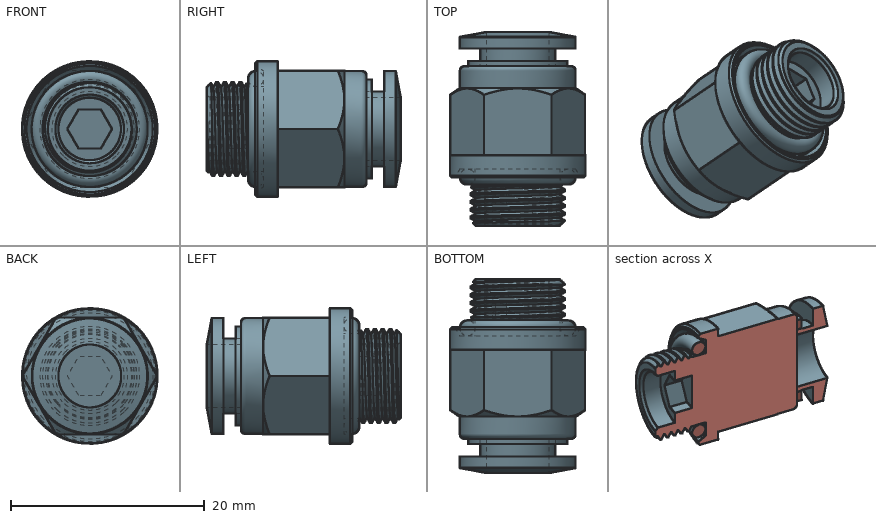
import cadquery as cq
import math


body_radius = 6.0
hex_across_flats = 12.06
hex_circumradius = hex_across_flats / 2 / math.cos(math.radians(30))
flange_radius = 14.0 / 2
flange_chamfer = 0.25
flange_start = 4.99
flange_end = 7.35
flange_back_chamfer = 0.06
hex_crown_start = 13.55
hex_end = 14.23
housing_end = 16.51
housing_fillet = 0.5

thread_radius = 4.87
thread_root_radius = 4.3
thread_pitch = 0.8
thread_tip_chamfer = 0.56
thread_end = 4.25
thread_end_chamfer = 0.3
thread_phase = 0.88
groove_half_angle = 30.0
groove_turns = 6.5
groove_lead_turns = 2
groove_overshoot = 0.1

bore_radius = 3.23
bore_depth = 2.28
bore_chamfer = 0.32
socket_across_flats = 4.0
socket_depth = 2.0

ring_section_radius = 0.8
ring_outer_radius = 6.0
ring_centre_radius = ring_outer_radius - ring_section_radius
ring_crown = 4.27
ring_centre_y = ring_crown + ring_section_radius
gland_inner_radius = ring_centre_radius - ring_section_radius
gland_floor = ring_centre_y + ring_section_radius
gland_mouth_radius = 6.51

collar_radius = 5.13
collar_end = 17.05

sleeve_radius = 3.89
button_radius = 6.0
button_start = 18.32
button_rim_end = 19.48
button_rim_chamfer = 0.06
tube_hole_radius = 3.25
button_end = 20.05


def turned(profile):
    """Revolve an outline of (radius, Y) points about the Y axis."""
    return cq.Workplane("XY").polyline(profile).close().revolve(360, (0, 0, 0), (0, 1, 0))


def cylinder(radius, start, end):
    """A solid cylinder on the Y axis."""
    return turned([(0, start), (radius, start), (radius, end), (0, end)])


def hex_prism(across_flats, start, end):
    """A hexagonal prism on the Y axis with flats facing +Z and -Z."""
    across_corners = across_flats / math.cos(math.radians(30))
    prism = cq.Workplane("XY").polygon(6, across_corners).extrude(end - start)
    return prism.rotate((0, 0, 0), (1, 0, 0), -90).translate((0, start, 0))


def thread_groove():
    """The helical V-groove cut into the threaded spigot, bounded by ruled faces between three helices."""
    outer_radius = thread_radius + groove_overshoot
    half_width = (outer_radius - thread_root_radius) * math.tan(math.radians(groove_half_angle))
    length = groove_turns * thread_pitch

    def helix(radius, axial_shift):
        return cq.Wire.makeHelix(thread_pitch, length, radius).translate(cq.Vector(0, 0, axial_shift))

    root_and_rims = [
        helix(thread_root_radius, 0),
        helix(outer_radius, half_width),
        helix(outer_radius, -half_width),
    ]
    faces = []
    for first, second in zip(root_and_rims, root_and_rims[1:] + root_and_rims[:1]):
        faces.extend(cq.Face.makeRuledSurface(first, second).Faces())
    for end in (0, 1):
        corners = [edge.positionAt(end) for edge in root_and_rims]
        faces.append(cq.Face.makeFromWires(cq.Wire.makePolygon(corners, close=True)))
    groove = cq.Workplane(cq.Solid.makeSolid(cq.Shell.makeShell(faces)).fix())
    start = thread_phase - groove_lead_turns * thread_pitch
    return groove.rotate((0, 0, 0), (1, 0, 0), -90).translate((0, start, 0))


def threaded_spigot():
    """The threaded end, chamfered at the tip and where the thread runs out."""
    blank = turned([
        (0, 0),
        (thread_radius - thread_tip_chamfer, 0),
        (thread_radius, thread_tip_chamfer),
        (thread_radius, thread_end - thread_end_chamfer),
        (thread_radius - thread_end_chamfer, thread_end),
        (0, thread_end),
    ])
    return blank.cut(thread_groove())


def flange():
    """The round flange with the gland for the O-ring in its face."""
    return turned([
        (0, thread_end),
        (gland_inner_radius, thread_end),
        (gland_inner_radius, gland_floor),
        (ring_outer_radius, gland_floor),
        (gland_mouth_radius, flange_start),
        (flange_radius - flange_chamfer, flange_start),
        (flange_radius, flange_start + flange_chamfer),
        (flange_radius, flange_end - flange_back_chamfer),
        (flange_radius - flange_back_chamfer, flange_end),
        (0, flange_end),
    ])


def hex_body():
    """The wrench hexagon, its corners crowned by a cone at the far end."""
    crown = turned([
        (0, flange_end),
        (hex_circumradius, flange_end),
        (hex_circumradius, hex_crown_start),
        (body_radius, hex_end),
        (0, hex_end),
    ])
    return hex_prism(hex_across_flats, flange_end, hex_end).intersect(crown)


def make_housing():
    """The threaded hexagon body with its bore and blind hex socket."""
    shoulder = cylinder(body_radius, hex_end, housing_end).faces(">Y").edges().fillet(housing_fillet)
    bore = turned([
        (0, 0),
        (bore_radius + bore_chamfer, 0),
        (bore_radius, bore_chamfer),
        (bore_radius, bore_depth),
        (0, bore_depth),
    ])
    socket = hex_prism(socket_across_flats, bore_depth, bore_depth + socket_depth)
    solid = flange().union(hex_body()).union(shoulder).union(threaded_spigot())
    return solid.cut(bore).cut(socket)


def make_o_ring():
    """The sealing ring seated in the gland."""
    section = cq.Workplane("XY").center(ring_centre_radius, ring_centre_y).circle(ring_section_radius)
    return section.revolve(360, (-ring_centre_radius, 0, 0), (-ring_centre_radius, 1, 0))


def make_collar():
    """The ring on the end of the housing that guides the release sleeve."""
    return cylinder(collar_radius, housing_end, collar_end).cut(
        cylinder(sleeve_radius, housing_end, collar_end)
    )


def make_release_sleeve():
    """The tubular sleeve, with the coned button at its outer end."""
    return turned([
        (tube_hole_radius, housing_end),
        (sleeve_radius, housing_end),
        (sleeve_radius, button_start),
        (button_radius, button_start),
        (button_radius, button_rim_end),
        (button_radius - button_rim_chamfer, button_rim_end + button_rim_chamfer),
        (tube_hole_radius, button_end),
    ])


housing = make_housing()
o_ring = make_o_ring()
collar = make_collar()
release_sleeve = make_release_sleeve()

result = cq.Compound.makeCompound(
    [housing.val(), o_ring.val(), collar.val(), release_sleeve.val()]
)